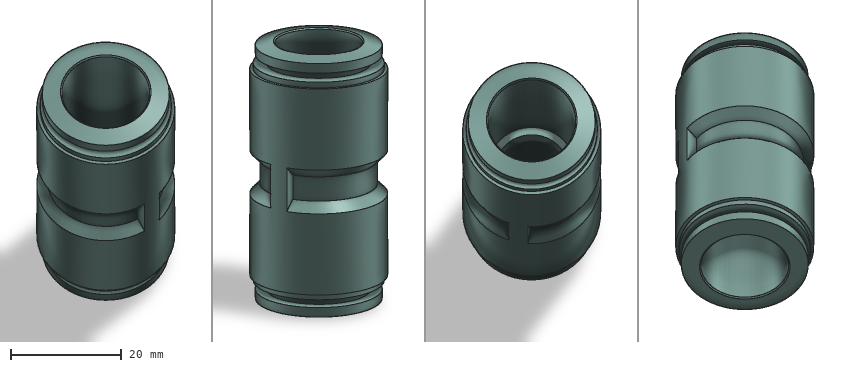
import cadquery as cq

total_length = 49.4
half_length = total_length / 2

body_diameter = 25.0
body_half_length = 19.55
collar_diameter = 23.75
collar_height = 1.1

neck_diameter = 19.05
flange_diameter = 23.0
flange_thickness = 1.8
neck_gap = 1.6
rim_break = 0.1
cone_height = 0.6

socket_diameter = 15.88
passage_diameter = 13.0
stop_thickness = 3.0
mouth_chamfer = 0.25

groove_floor_diameter = 21.3
groove_floor_width = 4.6
rib_width = 3.6

collar_top = body_half_length + collar_height
flange_bottom = collar_top + neck_gap
flange_top = flange_bottom + flange_thickness
cone_bottom = half_length - cone_height


def make_fitting():
    """Revolve the stepped outline, whose lower half mirrors the upper half."""
    stop_top = stop_thickness / 2
    socket_radius = socket_diameter / 2
    mouth_radius = socket_radius + mouth_chamfer
    upper_outline = [
        (body_diameter / 2, body_half_length),
        (collar_diameter / 2, body_half_length),
        (collar_diameter / 2, collar_top),
        (neck_diameter / 2, collar_top),
        (neck_diameter / 2, flange_bottom),
        (flange_diameter / 2, flange_bottom),
        (flange_diameter / 2, flange_top),
        (flange_diameter / 2 - rim_break, cone_bottom),
        (mouth_radius, half_length),
        (socket_radius, half_length - mouth_chamfer),
        (socket_radius, stop_top),
        (passage_diameter / 2, stop_top),
    ]
    lower_outline = [(radius, -height) for radius, height in reversed(upper_outline)]
    outline = upper_outline + lower_outline
    return cq.Workplane("XZ").polyline(outline).close().revolve(360, (0, 0), (0, 1))


def make_groove_cutter():
    """Ring that cuts the waist groove, with gaps where the two ribs remain."""
    floor_radius = groove_floor_diameter / 2
    body_radius = body_diameter / 2
    floor_half_width = groove_floor_width / 2
    mouth_half_width = floor_half_width + body_radius - floor_radius
    ring = (
        cq.Workplane("XZ")
        .moveTo(floor_radius, -floor_half_width)
        .lineTo(body_radius, -mouth_half_width)
        .lineTo(body_radius, mouth_half_width)
        .lineTo(floor_radius, floor_half_width)
        .close()
        .revolve(360, (0, 0), (0, 1))
    )
    ribs = cq.Workplane("XY").box(2 * body_diameter, rib_width, 2 * mouth_half_width)
    return ring.cut(ribs)


result = make_fitting().cut(make_groove_cutter())